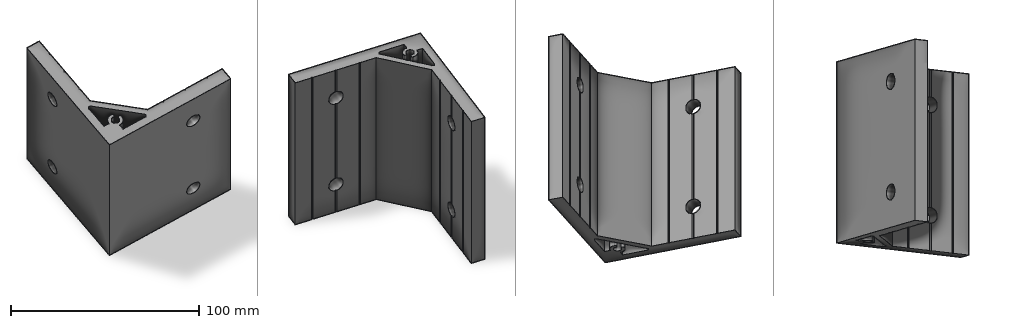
import cadquery as cq
import math

height = 98
leg_length = 78.0
leg_thickness = 8.0

brace_reach = 30.1
brace_thickness = 3.4
cavity_wall = 4.6
cavity_fillet = 1.1

channel_offset = 12.0
channel_inner_radius = 2.2
channel_outer_radius = 4.1
arm_end_angle = 2

hole_diameter = 8.4
hole_edge_distance = 24.1
hole_spacing = 59.8
groove_pitch = 14.0
groove_width = 1.0
groove_depth = 0.4


def prism(points):
    """Full-height prism; points are distances from the two outer faces."""
    return cq.Workplane("XY").polyline([(-a, b) for a, b in points]).close().extrude(height)


def cylinder(x, y, radius):
    return cq.Workplane("XY").center(x, y).circle(radius).extrude(height)


def make_outer_body():
    return prism([
        (0, 0),
        (leg_length, 0),
        (leg_length, leg_thickness),
        (brace_reach, leg_thickness),
        (leg_thickness, brace_reach),
        (leg_thickness, leg_length),
        (0, leg_length),
    ])


def make_cavity():
    line_sum = brace_reach + leg_thickness - brace_thickness * math.sqrt(2)
    tip = line_sum - cavity_wall
    cavity = prism([(cavity_wall, cavity_wall), (tip, cavity_wall), (cavity_wall, tip)])
    tip_size = 2 * cavity_fillet
    for a, b in ((tip, cavity_wall), (cavity_wall, tip)):
        near_tip = cq.selectors.BoxSelector(
            (-a - tip_size, b - tip_size, 0), (-a + tip_size, b + tip_size, height)
        )
        cavity = cavity.edges("|Z").edges(near_tip).fillet(cavity_fillet)
    solid_corner = prism([
        (0, 0),
        (channel_offset, 0),
        (channel_offset, channel_offset),
        (0, channel_offset),
    ])
    return cavity.cut(solid_corner)


def make_channel_ring():
    """C-shaped wall open towards the brace, with rounded arm ends."""
    ring = cylinder(-channel_offset, channel_offset, channel_outer_radius)
    mean_radius = (channel_inner_radius + channel_outer_radius) / 2
    end_radius = (channel_outer_radius - channel_inner_radius) / 2
    end_angles = [math.radians(angle) for angle in (90 + arm_end_angle, 180 - arm_end_angle)]
    ends = [
        (channel_offset - mean_radius * math.cos(angle), channel_offset + mean_radius * math.sin(angle))
        for angle in end_angles
    ]
    reach = 2 * channel_outer_radius / mean_radius
    far_ends = [
        (channel_offset + reach * (a - channel_offset), channel_offset + reach * (b - channel_offset))
        for a, b in ends
    ]
    ring = ring.cut(prism([(channel_offset, channel_offset)] + far_ends))
    for a, b in ends:
        ring = ring.union(cylinder(-a, b, end_radius))
    return ring


def make_grooves():
    """V grooves on the inner faces of both legs, centred on the hole line."""
    grooves = cq.Workplane("XY")
    for step in (-1, 0, 1):
        along = leg_length - hole_edge_distance + step * groove_pitch
        profile = [
            (along - groove_width / 2, leg_thickness),
            (along, leg_thickness - groove_depth),
            (along + groove_width / 2, leg_thickness),
        ]
        grooves = grooves.add(prism(profile))
        grooves = grooves.add(prism([(b, a) for a, b in profile]))
    return grooves.combine()


def make_holes():
    """Two through holes in each leg."""
    along = leg_length - hole_edge_distance
    levels = [height / 2 + side * hole_spacing / 2 for side in (-1, 1)]
    radius = hole_diameter / 2
    front_holes = (
        cq.Workplane("XZ").pushPoints([(-along, z) for z in levels]).circle(radius).extrude(-leg_thickness)
    )
    side_holes = (
        cq.Workplane("YZ").pushPoints([(along, z) for z in levels]).circle(radius).extrude(-leg_thickness)
    )
    return front_holes.union(side_holes)


channel_bore = cylinder(-channel_offset, channel_offset, channel_inner_radius)

result = (
    make_outer_body()
    .cut(make_cavity())
    .union(make_channel_ring())
    .cut(channel_bore)
    .cut(make_grooves())
    .cut(make_holes())
)